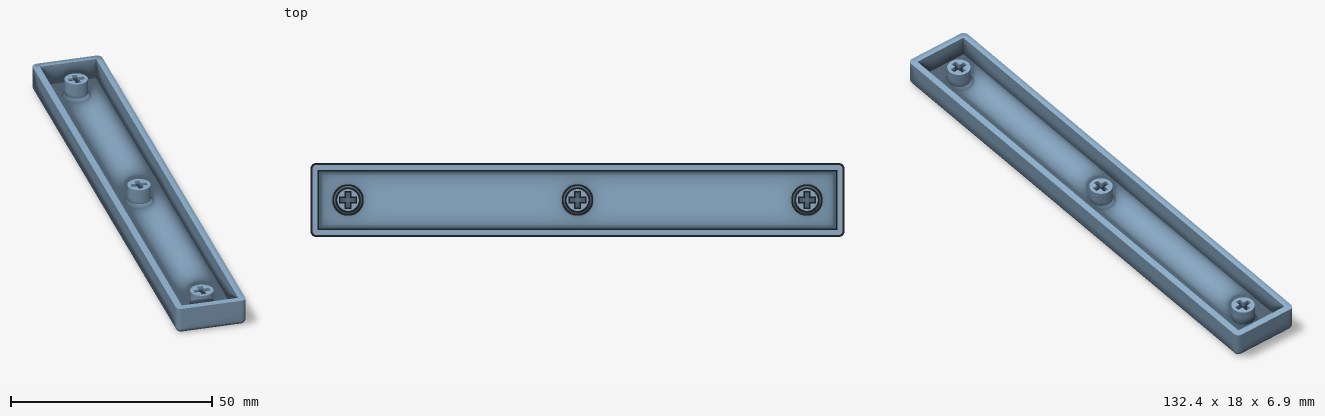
import cadquery as cq

length = 132.4
width = 18.0
height = 6.9

wall = 1.7
floor_thickness = 1.5
corner_radius = 1.3
bottom_rounding = 1.2

stem_diameter = 5.8
stem_top = 6.2
stem_pitch = 57.0
stem_root_chamfer = 0.8
cross_span = 4.1
cross_arm_width = 1.3


def make_shell():
    """Open tray with rounded outer edges and a square-cornered cavity."""
    body = (
        cq.Workplane("XY")
        .box(length, width, height, centered=(True, True, False))
        .edges("|Z")
        .fillet(corner_radius)
        .faces("<Z")
        .edges()
        .fillet(bottom_rounding)
    )
    cavity = (
        cq.Workplane("XY", origin=(0, 0, floor_thickness))
        .box(length - 2 * wall, width - 2 * wall, height, centered=(True, True, False))
    )
    return body.cut(cavity)


def make_stem():
    """Round stem flared into the floor by a conical root."""
    radius = stem_diameter / 2
    flare_radius = radius + stem_root_chamfer
    chamfer_top = floor_thickness + stem_root_chamfer
    return (
        cq.Workplane("XZ")
        .moveTo(0, floor_thickness / 2)
        .lineTo(flare_radius, floor_thickness / 2)
        .lineTo(flare_radius, floor_thickness)
        .lineTo(radius, chamfer_top)
        .lineTo(radius, stem_top)
        .lineTo(0, stem_top)
        .close()
        .revolve(360, (0, 0, 0), (0, 1, 0))
    )


def make_cross_socket():
    """Cross-shaped socket from the stem top down to the floor."""
    return (
        cq.Workplane("XY", origin=(0, 0, floor_thickness))
        .rect(cross_span, cross_arm_width)
        .extrude(height)
        .union(
            cq.Workplane("XY", origin=(0, 0, floor_thickness))
            .rect(cross_arm_width, cross_span)
            .extrude(height)
        )
    )


result = make_shell()
for stem_x in (-stem_pitch, 0, stem_pitch):
    result = result.union(make_stem().translate((stem_x, 0, 0)))
    result = result.cut(make_cross_socket().translate((stem_x, 0, 0)))